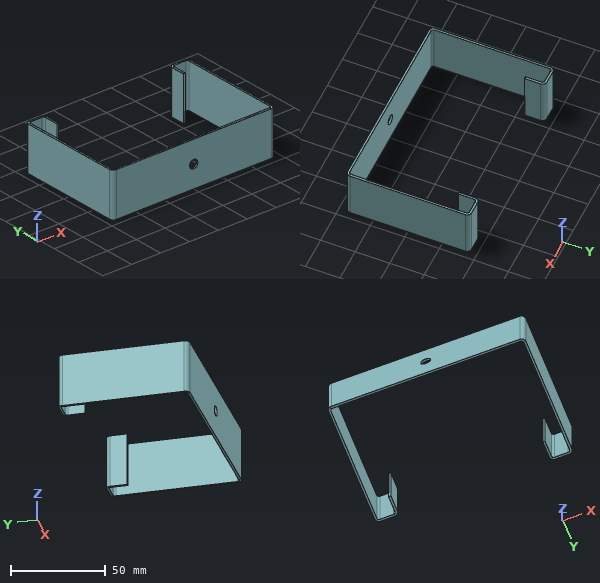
import cadquery as cq

width = 112.5
depth = 72.0
height = 30.0
thickness = 1.4
bend_radius = 2.6

hook_width = 13.0
lip_length = 11.9

hole_diameter = 5.5

half_thickness = thickness / 2
side_x = width / 2 - half_thickness
lip_x = width / 2 - hook_width + half_thickness
front_y = half_thickness
back_y = depth - half_thickness
lip_end_y = depth - lip_length
radius = bend_radius - half_thickness


def strip(x_start, y_start, x_end, y_end):
    """Upright axis-aligned wall whose centreline joins two points."""
    x_size = abs(x_end - x_start) or thickness
    y_size = abs(y_end - y_start) or thickness
    center = ((x_start + x_end) / 2, (y_start + y_end) / 2)
    return cq.Workplane("XY").center(*center).rect(x_size, y_size).extrude(height)


def bend(corner_x, corner_y, toward_x, toward_y):
    """Quarter-ring bend; toward_x and toward_y point from the corner to the bend's centre."""
    center_x = corner_x + toward_x * radius
    center_y = corner_y + toward_y * radius
    inside_radius = bend_radius - thickness
    ring = (
        cq.Workplane("XY")
        .center(center_x, center_y)
        .circle(bend_radius)
        .circle(inside_radius)
        .extrude(height)
    )
    quadrant = (
        cq.Workplane("XY")
        .center(center_x - toward_x * bend_radius / 2, center_y - toward_y * bend_radius / 2)
        .rect(bend_radius, bend_radius)
        .extrude(height)
    )
    return ring.intersect(quadrant)


def right_half():
    """Sheet from the middle of the front wall to the end of the right lip."""
    pieces = [
        bend(side_x, front_y, -1, 1),
        strip(side_x, front_y + radius, side_x, back_y - radius),
        bend(side_x, back_y, -1, -1),
        strip(lip_x + radius, back_y, side_x - radius, back_y),
        bend(lip_x, back_y, 1, -1),
        strip(lip_x, back_y - radius, lip_x, lip_end_y),
    ]
    half = strip(0, front_y, side_x - radius, front_y)
    for piece in pieces:
        half = half.union(piece)
    return half


half = right_half()
bracket = half.union(half.mirror("YZ"))

hole = (
    cq.Workplane("XZ")
    .center(0, height / 2)
    .circle(hole_diameter / 2)
    .extrude(-thickness)
)
result = bracket.cut(hole)